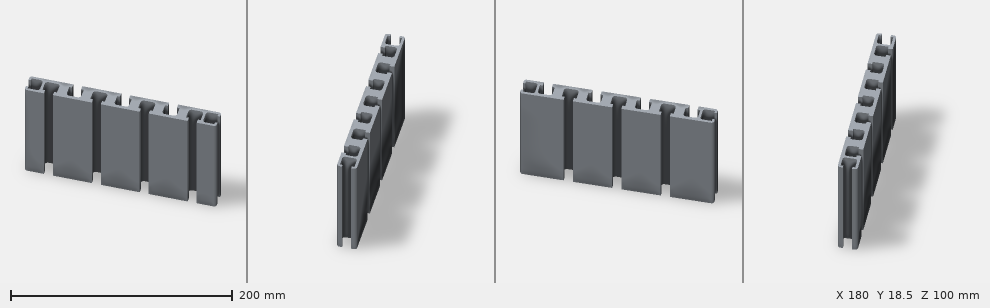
import cadquery as cq

width = 180.0
thickness = 18.5
length = 100.0
outer_radius = 2.5

slot_pitch = 45.0
front_slot_count = 4
back_slot_count = 3
slot_lip = 4.3
slot_cavity_width = 13.7
slot_radius = 2.9
slot_floor = 3.2
slot_depth = thickness - slot_floor

channel_lip = 2.3
channel_cavity_width = 13.5
channel_radius = 2.5
channel_depth = 13.3

mouth_width = 8.5


def undercut_slot(lip, cavity_width, depth, floor_radius):
    """Cutter entering at Y = 0 and reaching Y = depth, centred on X = 0.

    A narrow mouth passes between two lips into a wider cavity with rounded floor corners.
    """
    mouth = cq.Workplane("XY").center(0, lip / 2).rect(mouth_width, lip).extrude(length)
    cavity = (
        cq.Workplane("XY")
        .center(0, (lip + depth) / 2)
        .rect(cavity_width, depth - lip)
        .extrude(length)
        .edges("|Z and >Y")
        .fillet(floor_radius)
    )
    return mouth.union(cavity)


def turned(cutter, angle):
    """Cutter rotated about the Z axis."""
    return cutter.rotate((0, 0, 0), (0, 0, 1), angle)


def row_positions(count):
    """X positions of a row of T-slots centred on the profile."""
    return [(i - (count - 1) / 2) * slot_pitch for i in range(count)]


result = cq.Workplane("XY").rect(width, thickness).extrude(length).edges("|Z").fillet(outer_radius)

front_slot = undercut_slot(slot_lip, slot_cavity_width, slot_depth, slot_radius)
back_slot = turned(front_slot, 180)
for x in row_positions(front_slot_count):
    result = result.cut(front_slot.translate((x, -thickness / 2, 0)))
for x in row_positions(back_slot_count):
    result = result.cut(back_slot.translate((x, thickness / 2, 0)))

channel = undercut_slot(channel_lip, channel_cavity_width, channel_depth, channel_radius)
for side in (-1, 1):
    result = result.cut(turned(channel, side * 90).translate((side * width / 2, 0, 0)))